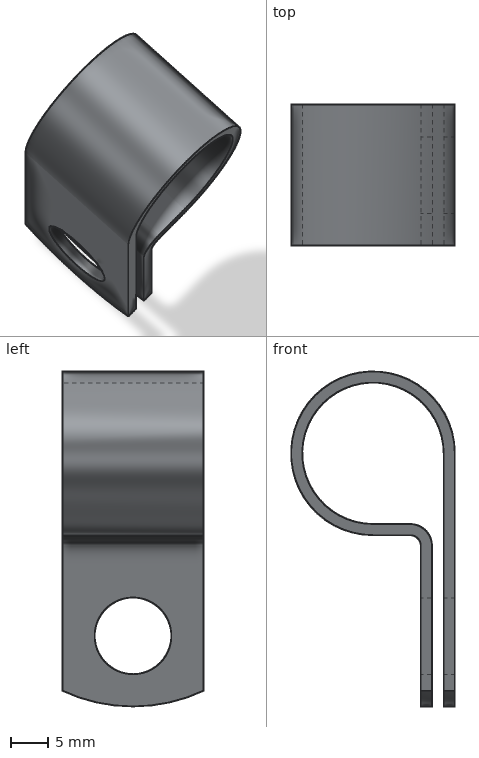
import cadquery as cq
import math

total_height = 45.15
loop_diameter = 22.1
strap_width = 19.05

thickness = 1.55
leg_gap = 1.55
bend_inner_radius = 1.45

hole_diameter = 10.3
hole_height = 9.55
end_drop = 2.1

outer_radius = loop_diameter / 2
inner_radius = outer_radius - thickness
tip_z = outer_radius - total_height
half_width = strap_width / 2

short_leg_right = inner_radius - leg_gap
short_leg_left = short_leg_right - thickness
bend_outer_radius = bend_inner_radius + thickness
bend_x = short_leg_left - bend_inner_radius
bend_z = -outer_radius - bend_inner_radius


def bend_midpoint(radius):
    """Point halfway round the quarter bend."""
    offset = radius * math.sin(math.radians(45))
    return bend_x + offset, bend_z + offset


def loop_midpoint(radius):
    """Point halfway round the three-quarter loop."""
    offset = radius * math.sin(math.radians(45))
    return -offset, offset


def make_strap():
    """Bent strap: long leg, loop, bend and short leg."""
    return (
        cq.Workplane("XZ")
        .moveTo(outer_radius, tip_z)
        .lineTo(outer_radius, 0)
        .threePointArc(loop_midpoint(outer_radius), (0, -outer_radius))
        .lineTo(bend_x, -outer_radius)
        .threePointArc(bend_midpoint(bend_inner_radius), (short_leg_left, bend_z))
        .lineTo(short_leg_left, tip_z)
        .lineTo(short_leg_right, tip_z)
        .lineTo(short_leg_right, bend_z)
        .threePointArc(bend_midpoint(bend_outer_radius), (bend_x, -inner_radius))
        .lineTo(0, -inner_radius)
        .threePointArc(loop_midpoint(inner_radius), (inner_radius, 0))
        .lineTo(inner_radius, tip_z)
        .close()
        .extrude(half_width, both=True)
    )


def make_end_envelope():
    """Block with a curved lower edge that rounds both leg ends."""
    return (
        cq.Workplane("YZ")
        .moveTo(-half_width, outer_radius)
        .lineTo(-half_width, tip_z + end_drop)
        .threePointArc((0, tip_z), (half_width, tip_z + end_drop))
        .lineTo(half_width, outer_radius)
        .close()
        .extrude(outer_radius, both=True)
    )


def make_bolt_hole():
    """Cylinder along X through both legs."""
    return (
        cq.Workplane("YZ")
        .center(0, tip_z + hole_height)
        .circle(hole_diameter / 2)
        .extrude(outer_radius, both=True)
    )


result = make_strap().intersect(make_end_envelope()).cut(make_bolt_hole())